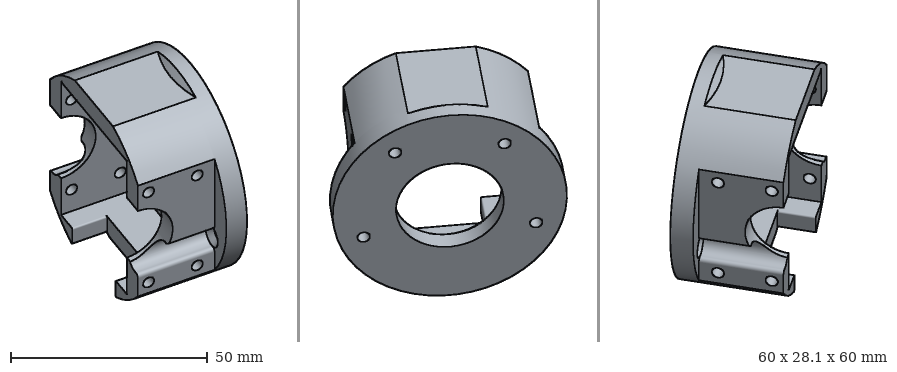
import cadquery as cq

outer_radius = 30.0
depth = 28.1
flange_thickness = 6.0
floor_y = depth - flange_thickness

side_flat_x = 23.65
end_flat_z = 28.2
flat_runout = outer_radius - end_flat_z

pocket_width = 35.3
pocket_height = 44.4
opening_diameter = 27.6
opening_chamfer = 1.0

cross_bore_radius = 10.0

slot_width = 23.0
slot_depth = cross_bore_radius
slot_edge_fillet = 0.5

screw_diameter = 3.2
countersink_diameter = 6.5
countersink_angle = 90
upper_screw_x = 14.05
upper_screw_z = 19.0
lower_screw_x = 22.1
lower_screw_z = -8.2
groove_edge_fillet = 1.0

cross_hole_ys = (3.05, 17.1)
cross_hole_z = 15.0


def cylinder_y(radius, start_y, length, x=0.0, z=0.0):
    """Cylinder along +Y."""
    return cq.Workplane(cq.Solid.makeCylinder(radius, length, cq.Vector(x, start_y, z), cq.Vector(0, 1, 0)))


def cylinder_x(radius, y, z):
    """Cylinder along X that spans the whole part."""
    start = cq.Vector(-outer_radius, y, z)
    return cq.Workplane(cq.Solid.makeCylinder(radius, 2 * outer_radius, start, cq.Vector(1, 0, 0)))


def front_block(width, length, height, z=0.0):
    """Block centred on X that starts at the front face."""
    return cq.Workplane("XY").box(width, length, height, centered=(True, False, True)).translate((0, 0, z))


def make_body():
    """Round flange and body with side flats, and end flats that run out on a cone."""
    flange = cylinder_y(outer_radius, floor_y, flange_thickness)
    barrel = cylinder_y(outer_radius, 0, floor_y)
    barrel = barrel.intersect(front_block(2 * side_flat_x, floor_y, 2 * outer_radius))
    body = flange.union(barrel)
    envelope = front_block(2 * outer_radius, depth, 2 * end_flat_z)
    cone = (
        cq.Workplane("XY")
        .moveTo(0, floor_y)
        .lineTo(end_flat_z, floor_y)
        .lineTo(outer_radius, floor_y + flat_runout)
        .lineTo(outer_radius, depth)
        .lineTo(0, depth)
        .close()
        .revolve(360, (0, 0, 0), (0, 1, 0))
    )
    return body.intersect(envelope.union(cone))


def cut_pocket(body):
    """Pocket, with a chamfered round opening through its floor."""
    body = body.cut(front_block(pocket_width, floor_y, pocket_height))
    radius = opening_diameter / 2
    wide_radius = radius + opening_chamfer
    opening = (
        cq.Workplane("XY")
        .moveTo(0, floor_y)
        .lineTo(wide_radius, floor_y)
        .lineTo(radius, floor_y + opening_chamfer)
        .lineTo(radius, depth)
        .lineTo(0, depth)
        .close()
        .revolve(360, (0, 0, 0), (0, 1, 0))
    )
    return body.cut(opening)


def cut_screw_grooves(body):
    """Clearance grooves for the lower screws, with rounded mouths."""
    radius = countersink_diameter / 2
    mouth_half_height = (radius**2 - (side_flat_x - lower_screw_x) ** 2) ** 0.5
    for side in (-1, 1):
        body = body.cut(cylinder_y(radius, 0, floor_y, side * lower_screw_x, lower_screw_z))
    mouth_points = [
        (side * side_flat_x, floor_y / 2, lower_screw_z + end * mouth_half_height)
        for side in (-1, 1)
        for end in (-1, 1)
    ]
    for point in mouth_points:
        body = body.edges(cq.selectors.NearestToPointSelector(point)).fillet(groove_edge_fillet)
    return body


def cut_bottom_slot(body):
    """Slot in the bottom wall, open to the front, with rounded corners inside and outside."""
    wall_middle_z = -(pocket_height / 2 + outer_radius) / 2
    wall_span = outer_radius - pocket_height / 2
    body = body.cut(front_block(slot_width, slot_depth, wall_span, wall_middle_z))
    half_width = slot_width / 2
    outer_edge_z = -((outer_radius**2 - half_width**2) ** 0.5)
    for side in (-1, 1):
        for z in (-pocket_height / 2, outer_edge_z):
            point = (side * half_width, slot_depth / 2, z)
            body = body.edges(cq.selectors.NearestToPointSelector(point)).fillet(slot_edge_fillet)
    return body


def cut_flange_screws(body):
    """Countersunk holes through the flange, entered from the front."""
    screw_places = [
        (side * x, z)
        for side in (-1, 1)
        for x, z in ((upper_screw_x, upper_screw_z), (lower_screw_x, lower_screw_z))
    ]
    return (
        body.copyWorkplane(cq.Workplane("XZ", origin=(0, floor_y, 0)))
        .pushPoints(screw_places)
        .cskHole(screw_diameter, countersink_diameter, countersink_angle, flange_thickness)
    )


def cut_side_walls(body):
    """Round cutout and cross holes through both side walls."""
    body = body.cut(cylinder_x(cross_bore_radius, 0, 0))
    for y in cross_hole_ys:
        for z in (-cross_hole_z, cross_hole_z):
            body = body.cut(cylinder_x(screw_diameter / 2, y, z))
    return body


result = make_body()
result = cut_pocket(result)
result = cut_screw_grooves(result)
result = cut_bottom_slot(result)
result = cut_flange_screws(result)
result = cut_side_walls(result)